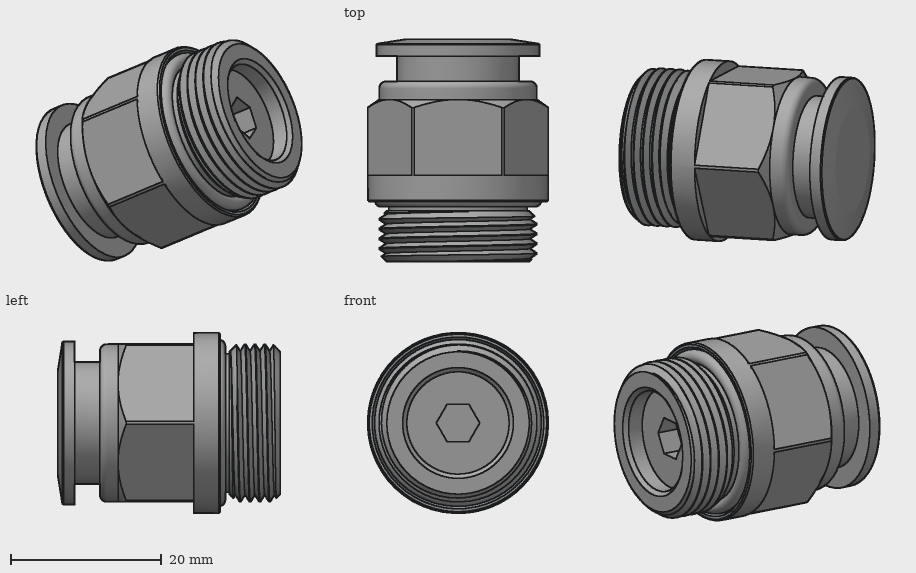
import cadquery as cq
import math


TOTAL_LENGTH = 29.55
THREAD_END = 6.77
FLANGE_START = 7.98
HEX_START = 11.5
HEX_END = 21.55
COLLAR_END = 23.97
BUTTON_FLANGE_START = 27.3

BODY_RADIUS = 12.0
HEX_ACROSS_FLATS = 21.0
COLLAR_RADIUS = HEX_ACROSS_FLATS / 2
COLLAR_FILLET = 0.95
HEX_CHAMFER_LENGTH = 1.05
FLANGE_CHAMFER = 0.2
NECK_RADIUS = 9.22

THREAD_RADIUS = 10.5
THREAD_ROOT_RADIUS = 9.58
THREAD_CHAMFER = 1.03
PITCH = 1.3
CREST_FLAT = 0.12
CUTTER_CLEARANCE = 0.05
CREST_HEIGHT = 1.1
GROOVE_TURNS = 7

BORE_RADIUS = 6.8
BORE_DEPTH = 2.72
BORE_CHAMFER = 0.55
SOCKET_ACROSS_FLATS = 5.0
SOCKET_DEPTH = 5.0

ORING_RADIUS = 11.08
ORING_SECTION_RADIUS = (ORING_RADIUS - NECK_RADIUS) / 2
ORING_START = 7.27
GROOVE_MOUTH_RADIUS = 11.4
GROOVE_FLOOR = ORING_START + 2 * ORING_SECTION_RADIUS

STEM_RADIUS = 8.13
STEM_START = HEX_END
BUTTON_RADIUS = 10.85
BUTTON_FACE_RADIUS = 6.98
BUTTON_RIM_END = 28.8
BUTTON_CONE_RADIUS = 10.73
BUTTON_CONE_START = 28.97


def revolve_about_y(points):
    """Turn a closed outline of (radius, y) points about the Y axis."""
    return cq.Workplane("XY").polyline(points).close().revolve(360, (0, 0), (0, 1))


def cylinder(radius, start, end):
    """Round bar on the Y axis between two stations."""
    return revolve_about_y([(0, start), (radius, start), (radius, end), (0, end)])


def hex_bar(across_flats, start, end):
    """Hexagonal bar on the Y axis with flats facing +Z and -Z."""
    across_corners = across_flats / math.cos(math.pi / 6)
    return cq.Workplane("XZ", origin=(0, start, 0)).polygon(6, across_corners).extrude(start - end)


def make_flange():
    outline = [
        (0, FLANGE_START),
        (BODY_RADIUS - FLANGE_CHAMFER, FLANGE_START),
        (BODY_RADIUS, FLANGE_START + FLANGE_CHAMFER),
        (BODY_RADIUS, HEX_START),
        (0, HEX_START),
    ]
    return revolve_about_y(outline)


def make_wrench_hex():
    """Hexagon with its corners rounded to the body radius and coned at the collar."""
    corner_envelope = revolve_about_y([
        (0, HEX_START),
        (BODY_RADIUS, HEX_START),
        (BODY_RADIUS, HEX_END - HEX_CHAMFER_LENGTH),
        (COLLAR_RADIUS, HEX_END),
        (0, HEX_END),
    ])
    return hex_bar(HEX_ACROSS_FLATS, HEX_START, HEX_END).intersect(corner_envelope)


def make_collar():
    collar = cylinder(COLLAR_RADIUS, HEX_END, COLLAR_END)
    return collar.faces(">Y").edges().fillet(COLLAR_FILLET)


def make_oring_groove():
    return revolve_about_y([
        (NECK_RADIUS, FLANGE_START),
        (GROOVE_MOUTH_RADIUS, FLANGE_START),
        (ORING_RADIUS, GROOVE_FLOOR),
        (NECK_RADIUS, GROOVE_FLOOR),
    ])


def make_groove_turn():
    """One turn of the right-handed V groove, starting on the +X side at Y = 0."""
    crest_depth = THREAD_RADIUS - THREAD_ROOT_RADIUS
    cutter_depth = crest_depth + CUTTER_CLEARANCE
    half_width = (PITCH - CREST_FLAT) / 2 * cutter_depth / crest_depth
    mouth_radius = THREAD_ROOT_RADIUS + cutter_depth
    path = cq.Wire.makeHelix(PITCH, PITCH, THREAD_ROOT_RADIUS)
    turn = (
        cq.Workplane("XZ")
        .polyline([(THREAD_ROOT_RADIUS, 0), (mouth_radius, half_width), (mouth_radius, -half_width)])
        .close()
        .sweep(cq.Workplane(path), isFrenet=True)
    )
    return turn.rotate((0, 0, 0), (1, 0, 0), -90)


def make_threaded_end():
    """Chamfered bar with the V groove cut turn by turn, running out past both ends."""
    threaded_end = cylinder(THREAD_RADIUS, 0, THREAD_END).edges().chamfer(THREAD_CHAMFER)
    threaded_end = threaded_end.rotate((0, 0, 0), (0, 1, 0), 180)
    groove_turn = make_groove_turn()
    first_turn_y = CREST_HEIGHT - 1.5 * PITCH
    for turn in range(GROOVE_TURNS):
        placed_turn = groove_turn.translate((0, first_turn_y + turn * PITCH, 0))
        threaded_end = threaded_end.cut(placed_turn, clean=False)
    return threaded_end


def make_bore():
    bore = revolve_about_y([
        (0, 0),
        (BORE_RADIUS + BORE_CHAMFER, 0),
        (BORE_RADIUS, BORE_CHAMFER),
        (BORE_RADIUS, BORE_DEPTH),
        (0, BORE_DEPTH),
    ])
    return bore.union(hex_bar(SOCKET_ACROSS_FLATS, BORE_DEPTH, BORE_DEPTH + SOCKET_DEPTH))


def make_housing():
    neck = cylinder(NECK_RADIUS, THREAD_END, FLANGE_START)
    stem_hole = cylinder(STEM_RADIUS, STEM_START, COLLAR_END)
    return (
        make_flange()
        .cut(make_oring_groove())
        .union(make_wrench_hex())
        .union(make_collar())
        .union(neck)
        .union(make_threaded_end())
        .cut(make_bore())
        .cut(stem_hole)
    )


def make_oring():
    center_radius = NECK_RADIUS + ORING_SECTION_RADIUS
    center_y = ORING_START + ORING_SECTION_RADIUS
    section = cq.Workplane("XY").center(center_radius, center_y).circle(ORING_SECTION_RADIUS)
    return section.revolve(360, (-center_radius, 0), (-center_radius, 1))


def make_release_button():
    return revolve_about_y([
        (0, STEM_START),
        (STEM_RADIUS, STEM_START),
        (STEM_RADIUS, BUTTON_FLANGE_START),
        (BUTTON_RADIUS, BUTTON_FLANGE_START),
        (BUTTON_RADIUS, BUTTON_RIM_END),
        (BUTTON_CONE_RADIUS, BUTTON_CONE_START),
        (BUTTON_FACE_RADIUS, TOTAL_LENGTH),
        (0, TOTAL_LENGTH),
    ])


housing = make_housing()
oring = make_oring()
release_button = make_release_button()

result = cq.Compound.makeCompound([housing.solids().val(), oring.val(), release_button.val()])